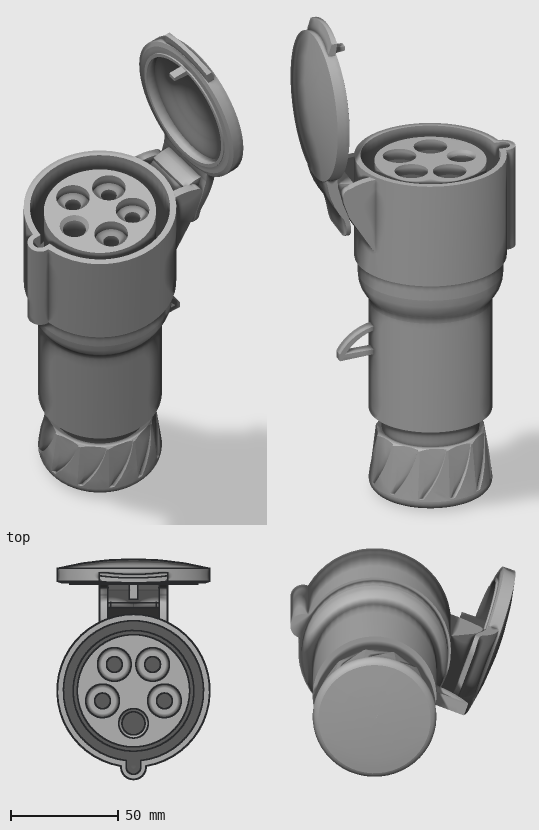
import cadquery as cq
import math


total_height = 244.7

sleeve_radius = 71.2 / 2
sleeve_wall = 3.0
sleeve_bottom = 119.2
sleeve_top = 170.3
sleeve_floor = 5.6
well_radius = sleeve_radius - sleeve_wall
well_bottom = sleeve_bottom + sleeve_floor

attach_radius = 29.4
key_center = 35.5
key_radius = 5.9
key_slot_radius = 3.5

insert_radius = 26.2
insert_setback = 2.7
insert_top = sleeve_top - insert_setback
flange_radius = 28.1
flange_height = 5.0
contact_circle = 15.2
contact_angles = (-18, 54, 126, 198)
earth_angle = 270
contact_recess_radius = 7.8
contact_recess_depth = 5.5
contact_bore_radius = 3.7
earth_bore_radius = 5.5
earth_mouth_radius = 6.9
earth_mouth_depth = 2.2
bore_depth = 34.3

collar_radius = 34.0
collar_straight_bottom = 111.0
collar_curve = 16.0
handle_fillet = 6.0
handle_radius = 29.0
handle_bottom = 41.0
neck_radius = 22.8
neck_bottom = 9.8

loop_width = 5.5
loop_tip_y = 45.3
loop_embed = 1.2

nut_top = 30.8
nut_top_chamfer = 1.0
nut_top_radius = 26.0
nut_bottom_radius = 29.0
nut_flare_bottom = 5.5
nut_base_radius = 26.2
nut_base_height = 1.0
flute_count = 12
flute_bottom = 6.4
flute_bottom_depth = 1.7
flute_top_depth = 0.5
flute_bottom_angle = 7.5
flute_bow_angle = 3.5
flute_bottom_lead = 3.5
flute_top_lead = 1.0
flute_reach = 2.5

hinge_half_width = 16.0
ear_gap_half_width = 12.0
web_thickness = 2.5
web_top = 151.0
pin_y = 42.3
pin_z = 160.8
pin_radius = 2.0
spring_radius = 3.7
spring_half_width = 10.5

lid_radius = sleeve_radius
lid_center_z = 203.6
lid_apex_y = 61.5
lid_rim_back_y = 57.0
lid_rim_front_y = 51.2
lid_lip_front_y = 49.7
lid_floor_edge_y = 54.5
lid_floor_apex_y = 58.7
gasket_front_y = 50.5
gasket_back_y = 53.4
gasket_outer_radius = 33.3
gasket_inner_radius = 29.9
lid_recess_radius = 28.1

tab_radius = total_height - lid_center_z
tab_half_width = 16.0
tab_tip_front_y = 50.5
tab_root_front_y = 52.0
tab_tip_back_y = 52.5
tab_root_back_y = 55.0
tab_embed = 2.5
tail_end_z = 139.5
tail_corner_radius = 7.8

latch_width = 4.0
latch_tip_y = 42.5
latch_root_y = 54.8
latch_top_z = 233.0
latch_tip_bottom_z = 230.8
latch_root_bottom_z = 229.0


def cylinder(radius, bottom, top, x=0, y=0):
    return cq.Workplane("XY", origin=(x, y, bottom)).circle(radius).extrude(top - bottom)


def slab(points, half_width):
    """Extrude a closed (y, z) outline evenly to both sides of X = 0."""
    return cq.Workplane("YZ").polyline(points).close().extrude(half_width, both=True)


def x_rod(radius, half_width):
    """Round rod along X, centred on the hinge axis."""
    return cq.Workplane("YZ", origin=(0, pin_y, pin_z)).circle(radius).extrude(half_width, both=True)


def polar(radius, degrees):
    angle = math.radians(degrees)
    return radius * math.cos(angle), radius * math.sin(angle)


def cap_midpoint(edge_radius, edge_height, apex_height):
    """Point halfway out on a spherical cap, as (radius, height)."""
    rise = apex_height - edge_height
    sphere = (edge_radius**2 + rise**2) / (2 * rise)
    half = edge_radius / 2
    return half, apex_height - sphere + math.sqrt(sphere**2 - half**2)


def key_rib(radius, bottom):
    """Half-round rib on the -Y side, joined radially to the sleeve."""
    rib = cylinder(radius, bottom, sleeve_top, y=-key_center)
    web = cq.Workplane("XY").box(
        2 * radius, key_center - attach_radius, sleeve_top - bottom, centered=(True, False, False)
    )
    return rib.union(web.translate((0, -key_center, bottom)))


def hinge_ears():
    """Two cheeks for the hinge pin, joined by a sloping web along their lower edge."""
    slope_top_y = 44.8
    foot_y = 32.3
    foot_z = 131.5
    ears = (
        cq.Workplane("YZ")
        .moveTo(attach_radius, 169.0)
        .threePointArc((38.7, 168.1), (44.8, 166.0))
        .threePointArc((47.2, 164.5), (48.0, 162.3))
        .lineTo(47.5, 158.5)
        .lineTo(slope_top_y, web_top)
        .lineTo(foot_y, foot_z)
        .lineTo(attach_radius, foot_z)
        .close()
        .extrude(hinge_half_width, both=True)
    )
    gap_outer_y = lid_apex_y
    gap = slab(
        [
            (attach_radius, sleeve_top),
            (gap_outer_y, sleeve_top),
            (gap_outer_y, web_top),
            (slope_top_y - web_thickness, web_top),
            (foot_y - web_thickness, foot_z),
            (attach_radius, foot_z),
        ],
        ear_gap_half_width,
    )
    return ears.cut(gap)


def make_sleeve():
    shell = cylinder(sleeve_radius, sleeve_bottom, sleeve_top)
    shell = shell.union(key_rib(key_radius, sleeve_bottom)).union(hinge_ears())
    shell = shell.cut(cylinder(well_radius, well_bottom, sleeve_top))
    shell = shell.cut(key_rib(key_slot_radius, well_bottom))
    return shell.cut(x_rod(pin_radius, hinge_half_width))


def make_insert():
    insert = cylinder(insert_radius, well_bottom, insert_top)
    insert = insert.union(cylinder(flange_radius, well_bottom, well_bottom + flange_height))
    bore_bottom = insert_top - bore_depth
    recess_bottom = insert_top - contact_recess_depth
    for angle in contact_angles:
        x, y = polar(contact_circle, angle)
        insert = insert.cut(cylinder(contact_recess_radius, recess_bottom, insert_top, x, y))
        insert = insert.cut(cylinder(contact_bore_radius, bore_bottom, insert_top, x, y))
    x, y = polar(contact_circle, earth_angle)
    insert = insert.cut(cylinder(earth_bore_radius, bore_bottom, insert_top, x, y))
    countersink = cq.Solid.makeCone(
        earth_bore_radius,
        earth_mouth_radius,
        earth_mouth_depth,
        pnt=cq.Vector(x, y, insert_top - earth_mouth_depth),
    )
    return insert.cut(cq.Workplane(countersink))


def hanging_loop():
    """Thin closed loop on the back of the handle."""
    root_y = handle_radius - loop_embed
    return (
        cq.Workplane("YZ")
        .moveTo(root_y, 87.9)
        .threePointArc((37.7, 83.7), (loop_tip_y, 75.5))
        .lineTo(loop_tip_y, 72.0)
        .lineTo(root_y, 73.5)
        .close()
        .moveTo(root_y, 86.0)
        .threePointArc((35.7, 82.2), (42.5, 75.1))
        .lineTo(root_y, 75.9)
        .close()
        .extrude(loop_width / 2, both=True)
    )


def make_grip():
    curve_sum = collar_curve + handle_fillet
    sweep = math.acos(1 - (collar_radius - handle_radius) / curve_sum)
    joint_r = collar_radius - collar_curve * (1 - math.cos(sweep))
    joint_z = collar_straight_bottom - collar_curve * math.sin(sweep)
    fillet_bottom = collar_straight_bottom - curve_sum * math.sin(sweep)
    body = (
        cq.Workplane("XZ")
        .moveTo(0, sleeve_bottom)
        .lineTo(collar_radius, sleeve_bottom)
        .lineTo(collar_radius, collar_straight_bottom)
        .threePointArc(
            (
                collar_radius - collar_curve * (1 - math.cos(sweep / 2)),
                collar_straight_bottom - collar_curve * math.sin(sweep / 2),
            ),
            (joint_r, joint_z),
        )
        .threePointArc(
            (
                handle_radius + handle_fillet * (1 - math.cos(sweep / 2)),
                fillet_bottom + handle_fillet * math.sin(sweep / 2),
            ),
            (handle_radius, fillet_bottom),
        )
        .lineTo(handle_radius, handle_bottom)
        .lineTo(neck_radius, handle_bottom)
        .lineTo(neck_radius, neck_bottom)
        .lineTo(0, neck_bottom)
        .close()
        .revolve(360, (0, 0), (0, 1))
    )
    return body.union(hanging_loop())


def flute_section(start_angle, fraction):
    """Four corners of a flute at a fraction of its height."""
    radius = nut_bottom_radius + (nut_top_radius - nut_bottom_radius) * fraction
    depth = flute_bottom_depth + (flute_top_depth - flute_bottom_depth) * fraction
    pitch = 360 / flute_count
    bow = 4 * flute_bow_angle * fraction * (1 - fraction)
    step_angle = start_angle + flute_bottom_angle + (pitch - flute_bottom_angle) * fraction + bow
    step_lead = flute_bottom_lead + (flute_top_lead - flute_bottom_lead) * fraction
    return [
        polar(radius, start_angle),
        polar(radius - depth, step_angle - step_lead),
        polar(radius + flute_reach, step_angle),
        polar(radius + flute_reach, start_angle),
    ]


def flute(start_angle):
    """Cutter whose step runs slantwise from one tooth edge to the next."""
    half_height = (nut_top - flute_bottom) / 2
    sections = cq.Workplane("XY", origin=(0, 0, flute_bottom))
    sections = sections.polyline(flute_section(start_angle, 0)).close()
    for fraction in (0.5, 1):
        sections = sections.workplane(offset=half_height)
        sections = sections.polyline(flute_section(start_angle, fraction)).close()
    return sections.loft()


def make_nut():
    nut = (
        cq.Workplane("XZ")
        .moveTo(0, 0)
        .threePointArc((nut_base_radius / 2, nut_base_height / 4), (nut_base_radius, nut_base_height))
        .threePointArc((28.1, 2.7), (nut_bottom_radius, nut_flare_bottom))
        .lineTo(nut_top_radius, nut_top - nut_top_chamfer)
        .lineTo(nut_top_radius - nut_top_chamfer, nut_top)
        .lineTo(0, nut_top)
        .close()
        .revolve(360, (0, 0), (0, 1))
    )
    for index in range(flute_count):
        nut = nut.cut(flute(index * 360 / flute_count))
    return nut.cut(cylinder(neck_radius, neck_bottom, nut_top))


def lid_disc():
    """Domed shell with a gasket channel behind its front rim."""
    disc = (
        cq.Workplane("XY")
        .moveTo(0, lid_apex_y)
        .threePointArc(
            cap_midpoint(lid_radius, lid_rim_back_y, lid_apex_y), (lid_radius, lid_rim_back_y)
        )
        .lineTo(lid_radius, lid_rim_front_y)
        .lineTo(gasket_outer_radius, gasket_front_y)
        .lineTo(gasket_outer_radius, gasket_back_y)
        .lineTo(gasket_inner_radius, gasket_back_y)
        .lineTo(gasket_inner_radius, lid_lip_front_y)
        .lineTo(lid_recess_radius, lid_lip_front_y)
        .lineTo(lid_recess_radius, lid_floor_edge_y)
        .threePointArc(
            cap_midpoint(lid_recess_radius, lid_floor_edge_y, lid_floor_apex_y), (0, lid_floor_apex_y)
        )
        .close()
        .revolve(360, (0, 0), (0, 1))
    )
    return disc.translate((0, 0, lid_center_z))


def lid_cylinder(radius, front_y, back_y):
    """Cylinder about the lid axis, from front_y back to back_y."""
    start = cq.Workplane("XZ", origin=(0, back_y, lid_center_z))
    return start.circle(radius).extrude(back_y - front_y)


def finger_tab():
    """Tapered grip tab on the far edge of the lid from the hinge."""
    root_z = lid_center_z + gasket_outer_radius - tab_embed
    shoulder_z = lid_center_z + lid_radius - tab_embed
    tip_z = lid_center_z + tab_radius
    wedge = slab(
        [
            (tab_root_front_y, root_z),
            (tab_tip_front_y, tip_z),
            (tab_tip_back_y, tip_z),
            (tab_root_back_y, shoulder_z),
            (tab_root_back_y, root_z),
        ],
        tab_half_width,
    )
    return wedge.intersect(lid_cylinder(tab_radius, tab_tip_front_y, lid_apex_y))


def hinge_arm():
    """Bent plate from the lid down behind the ears, ending in a rounded tail."""
    arm = (
        cq.Workplane("YZ")
        .moveTo(55.8, 176.2)
        .lineTo(55.8, 170.0)
        .threePointArc((53.0, 160.0), (47.5, 150.5))
        .threePointArc((46.3, 146.0), (46.0, tail_end_z))
        .lineTo(43.8, tail_end_z)
        .threePointArc((44.0, 145.9), (45.0, 151.0))
        .lineTo(48.0, 158.5)
        .lineTo(50.5, 167.5)
        .lineTo(51.2, 176.2)
        .close()
        .extrude(hinge_half_width, both=True)
    )
    return arm.intersect(tail_outline())


def tail_outline():
    """Front outline of the arm, with the two lower corners rounded."""
    height = lid_center_z - tail_end_z
    tail_outline_depth = 49.0
    outline = cq.Workplane("XY", origin=(0, pin_y, tail_end_z)).box(
        2 * hinge_half_width, tail_outline_depth, height, centered=(True, True, False)
    )
    return outline.faces("<Z").edges("|Y").fillet(tail_corner_radius)


def hinge_block():
    """Block between the ears, with a round knuckle about the hinge pin."""
    block = slab(
        [
            (51.5, 167.5),
            (47.0, 167.5),
            (41.0, 166.2),
            (41.0, 158.5),
            (48.7, 158.5),
        ],
        ear_gap_half_width,
    )
    return block.union(x_rod(spring_radius, ear_gap_half_width))


def latch_finger():
    """Tapered finger standing out of the lid rim."""
    return slab(
        [
            (latch_root_y, latch_top_z),
            (latch_tip_y, latch_top_z),
            (latch_tip_y, latch_tip_bottom_z),
            (latch_root_y, latch_root_bottom_z),
        ],
        latch_width / 2,
    )


def make_lid():
    inside = lid_cylinder(gasket_outer_radius, tab_tip_front_y, lid_rim_back_y)
    outside = finger_tab().union(hinge_arm()).cut(inside)
    lid = lid_disc().union(outside).union(hinge_block()).union(latch_finger())
    lid = lid.cut(x_rod(spring_radius, spring_half_width))
    return lid.cut(x_rod(pin_radius, hinge_half_width))


def make_gasket():
    gasket = lid_cylinder(gasket_outer_radius, gasket_front_y, gasket_back_y)
    return gasket.cut(lid_cylinder(gasket_inner_radius, gasket_front_y, gasket_back_y))


def make_hinge_pin():
    return x_rod(pin_radius, hinge_half_width)


def make_spring():
    """Spring around the hinge pin, simplified to a plain tube."""
    return x_rod(spring_radius, spring_half_width).cut(x_rod(pin_radius, spring_half_width))


sleeve = make_sleeve()
insert = make_insert()
grip = make_grip()
nut = make_nut()
lid = make_lid()
gasket = make_gasket()
hinge_pin = make_hinge_pin()
spring = make_spring()

bodies = [sleeve, insert, grip, nut, lid, gasket, hinge_pin, spring]
result = cq.Compound.makeCompound([body.solids().val() for body in bodies])